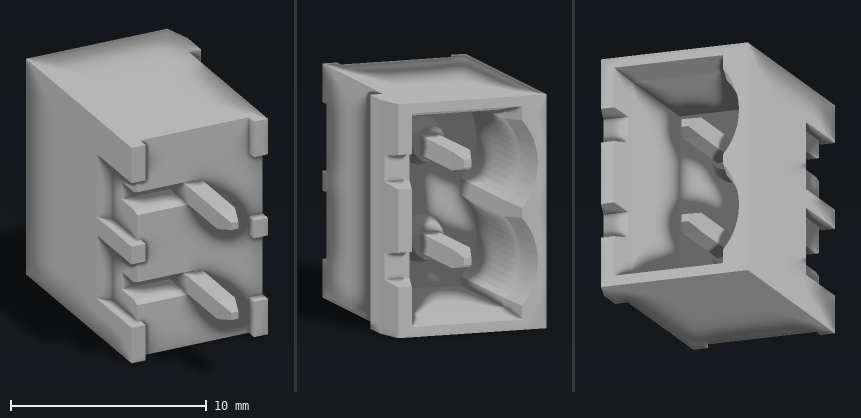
import cadquery as cq


pitch = 5.08
pole_count = 2
body_height = 12.16
body_depth = 7.8
pin_y = body_depth / 2
pole_heights = [(i - (pole_count - 1) / 2) * pitch for i in range(pole_count)]

body_length = 12.0
lip_y = 8.5
lip_length = 3.0
lip_ramp_length = 1.5
lip_front_y = 8.08

cavity_floor_x = 8.0
lead_in_length = 1.5
lead_in_offset = 0.4
cavity_mouth_low_y = 1.35
cavity_mouth_high_y = 7.35
cavity_mouth_height = 11.1
scallop_mouth_radius = 3.42

coding_depth = 1.15
coding_mouth_width = 1.8
coding_floor_width = 1.36

collar_base_radius = 1.25
collar_top_radius = 0.9
collar_height = 1.2

pin_width = 1.0
pin_tip_width = 0.4
pin_tip_length = 1.0
pin_start_x = 1.1
pin_end_x = 16.0

rear_recess_depth = 0.6
rear_floor_x = body_length - rear_recess_depth
rear_wall = 0.8
rear_end_wall = 2.0
rear_rib = 1.0
window_start_x = 8.0
window_depth = 0.63

slot_start_x = 9.6
slot_flare_length = 0.4
slot_flare = 0.15

overlap = 0.5


def box_between(x_range, y_range, z_range):
    """Axis-aligned box spanning the given (low, high) ranges."""
    sizes = [high - low for low, high in (x_range, y_range, z_range)]
    corner = (x_range[0], y_range[0], z_range[0])
    return cq.Workplane("XY").box(*sizes, centered=False).translate(corner)


def section_at(x, y, z):
    """Workplane normal to X, with local axes along Y and Z."""
    return cq.Workplane("YZ", origin=(x, y, z))


def cone_along_x(x, z, start_radius, end_radius, length):
    """Truncated cone on a pole axis, growing toward +X."""
    return (
        section_at(x, pin_y, z).circle(start_radius)
        .workplane(offset=length).circle(end_radius).loft()
    )


def square_taper(x, z, start_width, end_width, length):
    """Truncated square pyramid on a pole axis, growing toward +X."""
    return (
        section_at(x, pin_y, z).rect(start_width, start_width)
        .workplane(offset=length).rect(end_width, end_width).loft()
    )


def make_housing():
    outline = [
        (0, 0),
        (body_length, 0),
        (body_length, body_depth),
        (lip_length, body_depth),
        (lip_length, lip_y),
        (lip_ramp_length, lip_y),
        (0, lip_front_y),
    ]
    return cq.Workplane("XY").polyline(outline).close().extrude(body_height / 2, both=True)


def make_cavity():
    """Rectangular pocket with one scallop per pole and a tapered mouth."""
    mouth_y = cavity_mouth_high_y - cavity_mouth_low_y
    center_y = (cavity_mouth_high_y + cavity_mouth_low_y) / 2
    inner_y = mouth_y - 2 * lead_in_offset
    inner_height = cavity_mouth_height - 2 * lead_in_offset
    straight_length = cavity_floor_x - lead_in_length
    scallop_radius = scallop_mouth_radius - lead_in_offset

    mouth = (
        section_at(0, center_y, 0).rect(mouth_y, cavity_mouth_height)
        .workplane(offset=lead_in_length).rect(inner_y, inner_height).loft()
    )
    pocket = section_at(lead_in_length, center_y, 0).rect(inner_y, inner_height).extrude(straight_length)
    cavity = mouth.union(pocket)

    inner_low_y = cavity_mouth_low_y + lead_in_offset
    scallop_side = box_between((0, cavity_floor_x), (0, inner_low_y), (-body_height, body_height))
    for z in pole_heights:
        cone = cone_along_x(0, z, scallop_mouth_radius, scallop_radius, lead_in_length)
        bore = section_at(lead_in_length, pin_y, z).circle(scallop_radius).extrude(straight_length)
        cavity = cavity.union(cone.union(bore).intersect(scallop_side))
    return cavity


def make_coding_notch(z):
    """Trapezoidal notch across the lipped wall, narrowing away from the plug face."""
    mouth = coding_mouth_width / 2
    floor = coding_floor_width / 2
    profile = [(0, z - mouth), (coding_depth, z - floor), (coding_depth, z + floor), (0, z + mouth)]
    return (
        cq.Workplane("XZ", origin=(0, lip_y + overlap, 0))
        .polyline(profile).close().extrude(lip_y + overlap - pin_y)
    )


def make_rear_recess():
    """Shallow recess between the two side walls, open at top and bottom."""
    return box_between(
        (rear_floor_x, body_length + overlap),
        (rear_wall, body_depth - rear_wall),
        (-body_height, body_height),
    )


def make_window(side):
    """Opening between the rib and one end wall (side = +1 or -1).

    It is a ramped pocket in the flat wall and a gap through both walls behind the rear floor.
    """
    low_z = rear_rib / 2
    height = body_height / 2 - rear_end_wall - low_z
    start_z = low_z if side > 0 else -low_z - height
    profile = [
        (window_start_x, 0),
        (window_start_x + window_depth, window_depth),
        (rear_floor_x, window_depth),
        (rear_floor_x, body_depth),
        (body_length, body_depth),
        (body_length, 0),
    ]
    return cq.Workplane("XY", origin=(0, 0, start_z)).polyline(profile).close().extrude(height)


def make_pin_slot(z):
    """Slot from the flat wall to one pin, flared where it meets the rear floor."""
    half = pin_width / 2
    flare_x = rear_floor_x - slot_flare_length
    profile = [
        (slot_start_x, z - half),
        (flare_x, z - half),
        (rear_floor_x, z - half - slot_flare),
        (rear_floor_x, z + half + slot_flare),
        (flare_x, z + half),
        (slot_start_x, z + half),
    ]
    return cq.Workplane("XZ").polyline(profile).close().extrude(-pin_y)


def make_pin(z):
    """Square pin with a blunt pyramid at each end."""
    shaft_start_x = pin_start_x + pin_tip_length
    shaft_end_x = pin_end_x - pin_tip_length
    shaft = section_at(shaft_start_x, pin_y, z).rect(pin_width, pin_width).extrude(shaft_end_x - shaft_start_x)
    plug_tip = square_taper(pin_start_x, z, pin_tip_width, pin_width, pin_tip_length)
    solder_tip = square_taper(shaft_end_x, z, pin_width, pin_tip_width, pin_tip_length)
    return shaft.union(plug_tip).union(solder_tip)


def make_collar(z):
    """Conical collar standing on the cavity floor around a pin."""
    return cone_along_x(
        cavity_floor_x - collar_height, z, collar_top_radius, collar_base_radius, collar_height
    )


result = make_housing().cut(make_cavity()).cut(make_rear_recess())
for window_side in (1, -1):
    result = result.cut(make_window(window_side))
for pole_z in pole_heights:
    result = result.cut(make_coding_notch(pole_z)).cut(make_pin_slot(pole_z))
    result = result.union(make_collar(pole_z)).union(make_pin(pole_z))